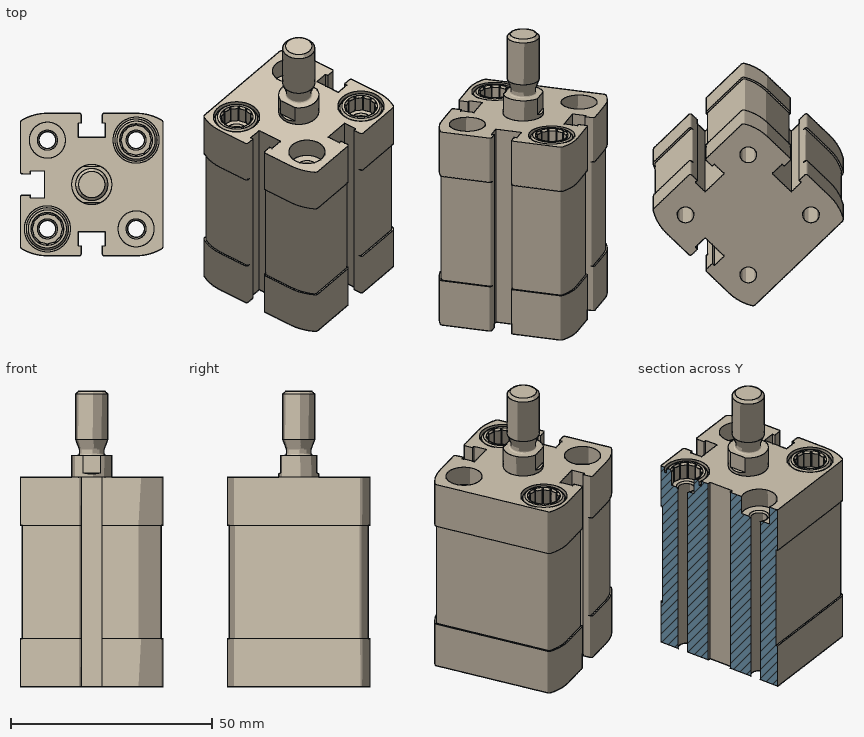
import cadquery as cq
import math


ARC_MIDDLE_INSET = 1 - math.sqrt(0.5)

TOTAL_HEIGHT = 73.5
HOUSING_HEIGHT = 52.1
CAP_HEIGHT = 12.0
CAP_HALF_WIDTH = 35.5 / 2
BARREL_INSET = 0.45
BARREL_HALF_WIDTH = CAP_HALF_WIDTH - BARREL_INSET

CROWN_START = 11.0
CROWN_RADIUS = 12.5
CORNER_FILLET = 0.9

GROOVE_MOUTH_WIDTH = 5.2
GROOVE_INNER_WIDTH = 6.7
GROOVE_LIP_DEPTH = 2.5
GROOVE_DEPTH = 5.95
GROOVE_LIP_FILLET = 0.5
GROOVE_ANGLES = (90, 180, 270)

HOLE_OFFSET = 11.0
HOLE_DIAMETER = 4.1
HOLE_CHAMFER = 0.45
COUNTERBORE_DIAMETER = 9.0
COUNTERBORE_DEPTH = 5.0
COUNTERBORE_CORNERS = ((-1, 1), (1, -1))
SOCKET_CORNERS = ((-1, -1), (1, 1))

RING_OUTER_DIAMETER = 11.5
COLLAR_DIAMETER = 10.5
COLLAR_CHAMFER = 0.5
RING_DEPTH = 1.5
SPLINE_COUNT = 12
SPLINE_ROOT_DIAMETER = 8.15
SPLINE_SHOULDER_DIAMETER = 7.5
SPLINE_TIP_DIAMETER = 7.3
SPLINE_TIP_WIDTH = 0.65
SPLINE_GAP = 0.2
SOCKET_DEPTH = 4.5
SOCKET_CHAMFER_DEPTH = 0.5

ROD_DIAMETER = 10.0
ROD_SHOULDER_Z = 57.55
FLATS_WIDTH = 9.0
FLATS_BOTTOM_Z = 53.2
FLATS_RUNOUT = 0.3
NECK_DIAMETER = 6.2
NECK_FILLET = 0.45
NECK_TOP_Z = 59.0
NECK_TOP_FILLET = 0.7
THREAD_DIAMETER = 8.0
THREAD_BOTTOM_Z = 61.45
THREAD_CHAMFER = 0.7


def crowned_block(half_width, bottom_z, height):
    """Square block whose +Y and -Y sides curve away towards the corners."""

    def crown_y(x):
        return half_width - CROWN_RADIUS + math.sqrt(CROWN_RADIUS**2 - (x - CROWN_START) ** 2)

    side_y = crown_y(half_width)
    middle_x = (CROWN_START + half_width) / 2
    middle_y = crown_y(middle_x)
    return (
        cq.Workplane("XY", origin=(0, 0, bottom_z))
        .moveTo(-CROWN_START, half_width)
        .lineTo(CROWN_START, half_width)
        .threePointArc((middle_x, middle_y), (half_width, side_y))
        .lineTo(half_width, -side_y)
        .threePointArc((middle_x, -middle_y), (CROWN_START, -half_width))
        .lineTo(-CROWN_START, -half_width)
        .threePointArc((-middle_x, -middle_y), (-half_width, -side_y))
        .lineTo(-half_width, side_y)
        .threePointArc((-middle_x, middle_y), (-CROWN_START, half_width))
        .close()
        .extrude(height)
        .edges("|Z and (<X or >X)")
        .fillet(CORNER_FILLET)
    )


def sensor_groove(half_width, bottom_z, height):
    """Cutter for the T-shaped groove of the +X side, with rounded lips at its mouth."""
    mouth = GROOVE_MOUTH_WIDTH / 2
    inner = GROOVE_INNER_WIDTH / 2
    lip_x = CAP_HALF_WIDTH - GROOVE_LIP_DEPTH
    floor_x = CAP_HALF_WIDTH - GROOVE_DEPTH
    flare = mouth + GROOVE_LIP_FILLET
    flare_x = half_width - GROOVE_LIP_FILLET
    arc_inset = ARC_MIDDLE_INSET * GROOVE_LIP_FILLET
    return (
        cq.Workplane("XY", origin=(0, 0, bottom_z))
        .moveTo(floor_x, -inner)
        .lineTo(lip_x, -inner)
        .lineTo(lip_x, -mouth)
        .lineTo(flare_x, -mouth)
        .threePointArc((half_width - arc_inset, -mouth - arc_inset), (half_width, -flare))
        .lineTo(half_width, flare)
        .threePointArc((half_width - arc_inset, mouth + arc_inset), (flare_x, mouth))
        .lineTo(lip_x, mouth)
        .lineTo(lip_x, inner)
        .lineTo(floor_x, inner)
        .close()
        .extrude(height)
    )


def housing_section(half_width, bottom_z, height):
    """One length of the housing with its sensor grooves."""
    section = crowned_block(half_width, bottom_z, height)
    groove = sensor_groove(half_width, bottom_z, height)
    for angle in GROOVE_ANGLES:
        section = section.cut(groove.rotate((0, 0, 0), (0, 0, 1), angle))
    return section


def cone_mouth(top_diameter, bottom_diameter, depth):
    """Downward-narrowing cone on the Z axis, from Z = 0 to Z = -depth."""
    return cq.Workplane(
        cq.Solid.makeCone(bottom_diameter / 2, top_diameter / 2, depth, pnt=cq.Vector(0, 0, -depth))
    )


def fixing_hole(floor_depth):
    """Through hole with a chamfer at the recess floor, below a top face at Z = 0."""
    hole = cq.Workplane("XY").circle(HOLE_DIAMETER / 2).extrude(-HOUSING_HEIGHT)
    chamfer = cone_mouth(HOLE_DIAMETER + 2 * HOLE_CHAMFER, HOLE_DIAMETER, HOLE_CHAMFER)
    return hole.union(chamfer.translate((0, 0, -floor_depth)))


def counterbored_hole():
    counterbore = cq.Workplane("XY").circle(COUNTERBORE_DIAMETER / 2).extrude(-COUNTERBORE_DEPTH)
    return counterbore.union(fixing_hole(COUNTERBORE_DEPTH))


def spline_tooth():
    """Inward tooth on the +X side of a socket: straight-sided, with a shallow tapered crest."""
    tip_half = SPLINE_TIP_WIDTH / 2
    tip_x = math.sqrt((SPLINE_TIP_DIAMETER / 2) ** 2 - tip_half**2)
    shoulder_radius = SPLINE_SHOULDER_DIAMETER / 2
    shoulder_half = math.pi * shoulder_radius / SPLINE_COUNT - SPLINE_GAP / 2
    shoulder_x = math.sqrt(shoulder_radius**2 - shoulder_half**2)
    root_x = SPLINE_ROOT_DIAMETER / 2
    return (
        cq.Workplane("XY")
        .moveTo(tip_x, -tip_half)
        .lineTo(shoulder_x, -shoulder_half)
        .lineTo(root_x, -shoulder_half)
        .lineTo(root_x, shoulder_half)
        .lineTo(shoulder_x, shoulder_half)
        .lineTo(tip_x, tip_half)
        .close()
        .extrude(-SOCKET_DEPTH)
    )


def splined_socket():
    """Cutter for a splined socket, its entry chamfer, ring groove and through hole."""
    socket = cq.Workplane("XY").circle(SPLINE_ROOT_DIAMETER / 2).extrude(-SOCKET_DEPTH)
    pitch = 360 / SPLINE_COUNT
    half_step = 0.5
    tooth = spline_tooth()
    for index in range(SPLINE_COUNT):
        socket = socket.cut(tooth.rotate((0, 0, 0), (0, 0, 1), (index + half_step) * pitch))
    chamfer = cone_mouth(SPLINE_ROOT_DIAMETER, SPLINE_TIP_DIAMETER, SOCKET_CHAMFER_DEPTH)
    collar = (
        cq.Workplane("XY")
        .circle(COLLAR_DIAMETER / 2)
        .extrude(-RING_DEPTH)
        .faces(">Z")
        .chamfer(COLLAR_CHAMFER)
    )
    ring = cq.Workplane("XY").circle(RING_OUTER_DIAMETER / 2).extrude(-RING_DEPTH).cut(collar)
    return socket.union(chamfer).union(fixing_hole(SOCKET_DEPTH)).union(ring)


def cut_at_corners(body, cutter, corners):
    for x_sign, y_sign in corners:
        place = (x_sign * HOLE_OFFSET, y_sign * HOLE_OFFSET, HOUSING_HEIGHT)
        body = body.cut(cutter.translate(place))
    return body


def make_housing():
    top_cap_z = HOUSING_HEIGHT - CAP_HEIGHT
    bottom_cap = housing_section(CAP_HALF_WIDTH, 0, CAP_HEIGHT)
    barrel = housing_section(BARREL_HALF_WIDTH, CAP_HEIGHT, top_cap_z - CAP_HEIGHT)
    top_cap = housing_section(CAP_HALF_WIDTH, top_cap_z, CAP_HEIGHT)
    body = bottom_cap.union(barrel).union(top_cap)
    body = cut_at_corners(body, counterbored_hole(), COUNTERBORE_CORNERS)
    return cut_at_corners(body, splined_socket(), SOCKET_CORNERS)


def rod_flat():
    """Cutter for the wrench flat of the +Y side, with a sloping run-out at its lower end."""
    flat_y = FLATS_WIDTH / 2
    outside_y = ROD_DIAMETER / 2
    return (
        cq.Workplane("YZ")
        .moveTo(flat_y, ROD_SHOULDER_Z)
        .lineTo(flat_y, FLATS_BOTTOM_Z)
        .lineTo(outside_y, FLATS_BOTTOM_Z - FLATS_RUNOUT)
        .lineTo(outside_y, ROD_SHOULDER_Z)
        .close()
        .extrude(ROD_DIAMETER / 2, both=True)
    )


def make_rod():
    """Rod standing on the housing: shoulder with two flats, filleted neck, threaded end."""
    neck = NECK_DIAMETER / 2
    thread = THREAD_DIAMETER / 2
    arc_inset = ARC_MIDDLE_INSET * NECK_FILLET
    rod = (
        cq.Workplane("XZ")
        .moveTo(0, HOUSING_HEIGHT)
        .lineTo(ROD_DIAMETER / 2, HOUSING_HEIGHT)
        .lineTo(ROD_DIAMETER / 2, ROD_SHOULDER_Z)
        .lineTo(neck + NECK_FILLET, ROD_SHOULDER_Z)
        .threePointArc((neck + arc_inset, ROD_SHOULDER_Z + arc_inset), (neck, ROD_SHOULDER_Z + NECK_FILLET))
        .lineTo(neck, NECK_TOP_Z)
        .lineTo(thread, THREAD_BOTTOM_Z)
        .lineTo(thread, TOTAL_HEIGHT - THREAD_CHAMFER)
        .lineTo(thread - THREAD_CHAMFER, TOTAL_HEIGHT)
        .lineTo(0, TOTAL_HEIGHT)
        .close()
        .revolve(360, (0, 0, 0), (0, 1, 0))
    )
    rod = rod.edges(cq.selectors.NearestToPointSelector((0, 0, NECK_TOP_Z))).fillet(NECK_TOP_FILLET)
    flat = rod_flat()
    return rod.cut(flat).cut(flat.mirror("XZ"))


housing = make_housing()
rod = make_rod()
result = cq.Compound.makeCompound([housing.val(), rod.val()])